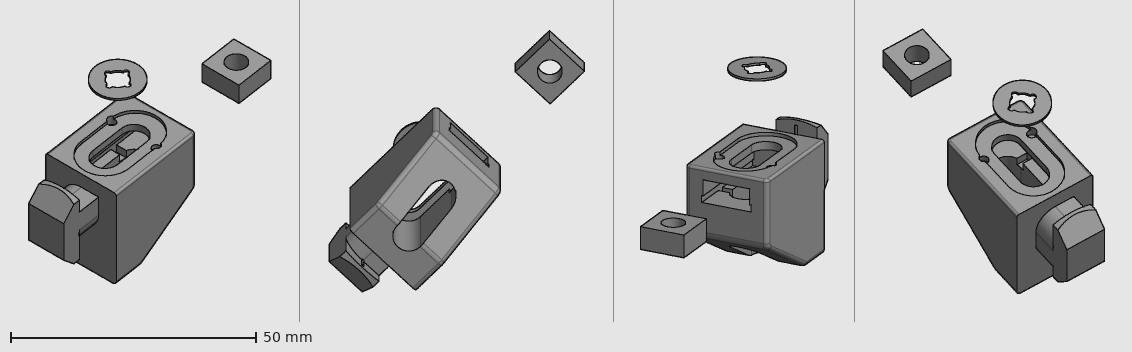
import cadquery as cq
import math


BLOCK_WIDTH = 19.0
BLOCK_DEPTH = 25.0
BLOCK_HEIGHT = 25.0
SLOPE_ANGLE = 30
SLOPE_RUN = 17.05
SLOPE_RISE = SLOPE_RUN * math.tan(math.radians(SLOPE_ANGLE))
SLOPE_CORNER_RADIUS = 2.0
SIDE_EDGE_RADIUS = 1.0
TOP_EDGE_RADIUS = 0.6

SLOT_Y = 12.05
SLOT_WIDTH = 6.55
SLOT_TRAVEL = 9.0
RECESS_Y = 12.2
RECESS_WIDTH = 12.75
RECESS_LENGTH = 22.15
RECESS_DEPTH = 0.8
PIN_HOLE_RADIUS = 1.0
PIN_HOLE_X = 6.0
PIN_HOLE_Y = SLOT_Y + SLOT_TRAVEL / 2
PIN_HOLE_DEPTH = 2.25

NUT_SIZE = 10.0
NUT_HEIGHT = 5.0
NUT_BACK_Y = 53.5
NUT_TOP_DROP = 2.6
NUT_TOP_Z = BLOCK_HEIGHT - NUT_TOP_DROP
NUT_HOLE_DIAMETER = 5.0

CHANNEL_WIDTH = 10.7
CHANNEL_FRONT_Y = 2.5
CHANNEL_FLOOR_Z = NUT_TOP_Z - NUT_HEIGHT
UNDERCUT_WIDTH = 11.3
UNDERCUT_HEIGHT = 1.5
GROOVE_Y = 16.8
GROOVE_WIDTH = 1.8
GROOVE_DEPTH = 2.0

HEAD_Z = 16.5
HEAD_WIDTH = 9.45
HEAD_HEIGHT = 18.0
HEAD_END_RADIUS = 13.5
HEAD_TIP_Y = -10.9
HEAD_THICKNESS = 4.9
HEAD_CHAMFER = 4.0
NECK_HEIGHT = 9.8
NECK_RADIUS = 4.8
RIDGE_WIDTH = 0.6
RIDGE_PROJECTION = 0.2
RIDGE_LENGTH = 15.7

WASHER_DIAMETER = 12.0
WASHER_THICKNESS = 0.5
WASHER_Y = 11.45
WASHER_TOP_Z = 43.2
WASHER_HOLE_RADIUS = 2.6
LOBE_RADIUS = 0.7
LOBE_TIP = 3.35
LOBE_COUNT = 4


def box(width, y_front, y_back, z_bottom, z_top):
    """Box centered on X = 0 between the given Y and Z limits."""
    return (
        cq.Workplane("XY")
        .box(width, y_back - y_front, z_top - z_bottom, centered=(True, False, False))
        .translate((0, y_front, z_bottom))
    )


def slot(length, width, y_center, z_bottom, z_top):
    """Vertical round-ended slot running along Y."""
    return (
        cq.Workplane("XY", origin=(0, y_center, z_bottom))
        .slot2D(length, width, 90)
        .extrude(z_top - z_bottom)
    )


def make_block():
    """Block with a sloped lower back and rounded edges; its front edges stay sharp."""
    half_width = BLOCK_WIDTH / 2
    profile = (
        cq.Workplane("YZ", origin=(-half_width, 0, 0))
        .polyline([
            (0, 0),
            (BLOCK_DEPTH - SLOPE_RUN, 0),
            (BLOCK_DEPTH, SLOPE_RISE),
            (BLOCK_DEPTH, BLOCK_HEIGHT),
            (0, BLOCK_HEIGHT),
        ])
        .close()
        .extrude(BLOCK_WIDTH)
    )
    slope_ends = profile.edges("|X").edges("not(<Y or >Z)")
    block = slope_ends.fillet(SLOPE_CORNER_RADIUS)
    rim = block.faces("<X or >X").edges("not(>Z or <Y)")
    block = rim.fillet(SIDE_EDGE_RADIUS)
    return block.faces(">Z").edges("not <Y").fillet(TOP_EDGE_RADIUS)


def cut_screw_slot(body):
    """Cut the washer recess, the through slot for the screw and the two pin holes."""
    recess_floor = BLOCK_HEIGHT - RECESS_DEPTH
    body = body.cut(slot(RECESS_LENGTH, RECESS_WIDTH, RECESS_Y, recess_floor, BLOCK_HEIGHT))
    body = body.cut(slot(SLOT_TRAVEL + SLOT_WIDTH, SLOT_WIDTH, SLOT_Y, 0, BLOCK_HEIGHT))
    pin_holes = (
        cq.Workplane("XY", origin=(0, PIN_HOLE_Y, BLOCK_HEIGHT))
        .pushPoints([(-PIN_HOLE_X, 0), (PIN_HOLE_X, 0)])
        .circle(PIN_HOLE_RADIUS)
        .extrude(-PIN_HOLE_DEPTH)
    )
    return body.cut(pin_holes)


def cut_nut_channel(body):
    """Cut the channel that the nut slides into from the back."""
    undercut_top = CHANNEL_FLOOR_Z + UNDERCUT_HEIGHT
    groove_front = GROOVE_Y - GROOVE_WIDTH / 2
    groove_back = GROOVE_Y + GROOVE_WIDTH / 2
    groove_bottom = CHANNEL_FLOOR_Z - GROOVE_DEPTH
    channel = box(CHANNEL_WIDTH, CHANNEL_FRONT_Y, BLOCK_DEPTH, CHANNEL_FLOOR_Z, NUT_TOP_Z)
    undercut = box(UNDERCUT_WIDTH, CHANNEL_FRONT_Y, BLOCK_DEPTH, CHANNEL_FLOOR_Z, undercut_top)
    groove = box(UNDERCUT_WIDTH, groove_front, groove_back, groove_bottom, CHANNEL_FLOOR_Z)
    return body.cut(channel).cut(undercut).cut(groove)


def make_hammer_head():
    """Head with curved ends, chamfered toward its tip, and a thin ridge on its back."""
    back_y = HEAD_TIP_Y + HEAD_THICKNESS
    half_width = HEAD_WIDTH / 2
    half_height = HEAD_HEIGHT / 2
    corner = half_height - HEAD_END_RADIUS + math.sqrt(HEAD_END_RADIUS**2 - half_width**2)
    head = (
        cq.Workplane("XZ", origin=(0, back_y, HEAD_Z))
        .moveTo(-half_width, -corner)
        .threePointArc((0, -half_height), (half_width, -corner))
        .lineTo(half_width, corner)
        .threePointArc((0, half_height), (-half_width, corner))
        .close()
        .extrude(HEAD_THICKNESS)
    )
    wedge = (
        cq.Workplane("YZ", origin=(-half_width, HEAD_TIP_Y, HEAD_Z))
        .polyline([
            (0, half_height - HEAD_CHAMFER),
            (HEAD_CHAMFER, half_height),
            (HEAD_THICKNESS, half_height),
            (HEAD_THICKNESS, -half_height),
            (HEAD_CHAMFER, -half_height),
            (0, HEAD_CHAMFER - half_height),
        ])
        .close()
        .extrude(HEAD_WIDTH)
    )
    half_ridge = RIDGE_LENGTH / 2
    ridge = box(RIDGE_WIDTH, back_y, back_y + RIDGE_PROJECTION, HEAD_Z - half_ridge, HEAD_Z + half_ridge)
    return head.intersect(wedge).union(ridge)


def make_neck():
    """Bar with two diagonally opposite corners rounded, so that the head can turn a quarter turn."""
    half_height = NECK_HEIGHT / 2
    neck = box(HEAD_WIDTH, HEAD_TIP_Y + HEAD_THICKNESS, 0, HEAD_Z - half_height, HEAD_Z + half_height)
    upper_left = neck.edges("|Y").edges("<X").edges(">Z")
    lower_right = neck.edges("|Y").edges(">X").edges("<Z")
    return upper_left.add(lower_right).fillet(NECK_RADIUS)


def make_housing():
    """Block, neck and hammer head as one solid."""
    body = cut_nut_channel(cut_screw_slot(make_block()))
    return body.union(make_neck()).union(make_hammer_head())


def make_nut():
    """Square nut with a plain through hole."""
    nut = box(NUT_SIZE, NUT_BACK_Y - NUT_SIZE, NUT_BACK_Y, NUT_TOP_Z - NUT_HEIGHT, NUT_TOP_Z)
    return nut.faces(">Z").workplane(centerOption="CenterOfBoundBox").hole(NUT_HOLE_DIAMETER)


def make_washer():
    """Thin disc with four lobes around its center hole."""
    plane = cq.Workplane("XY", origin=(0, WASHER_Y, WASHER_TOP_Z - WASHER_THICKNESS))
    washer = plane.circle(WASHER_DIAMETER / 2).circle(WASHER_HOLE_RADIUS).extrude(WASHER_THICKNESS)
    lobe_centers = plane.polarArray(LOBE_TIP - LOBE_RADIUS, 0, 360, LOBE_COUNT)
    lobes = lobe_centers.circle(LOBE_RADIUS).extrude(WASHER_THICKNESS)
    return washer.cut(lobes)


housing = make_housing()
nut = make_nut()
washer = make_washer()

result = cq.Compound.makeCompound([housing.val(), nut.val(), washer.val()])